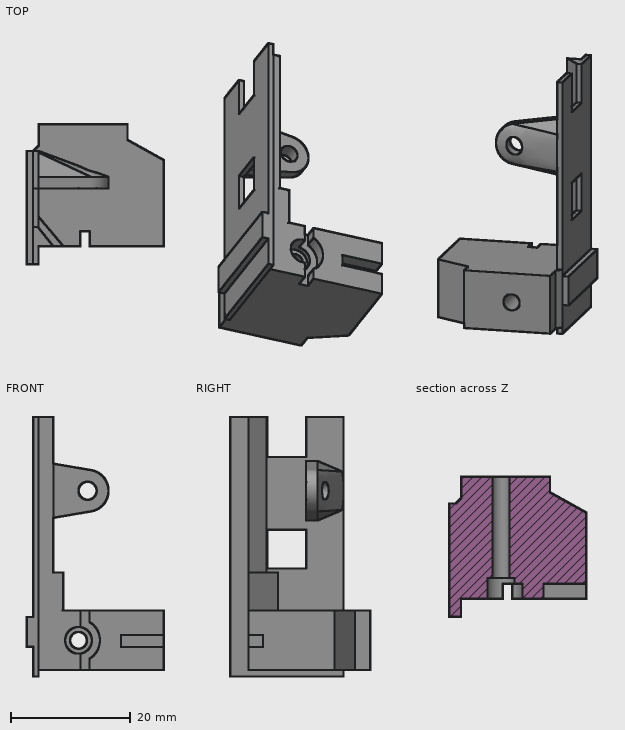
import cadquery as cq
import math

height = 43.5
bar_thickness = 1.1
bar_bottom = 5.0
bar_height = 5.0
plate_outer_x = bar_thickness
plate_thickness = 0.9
plate_inner_x = plate_outer_x + plate_thickness
plate_width = 19.0

opening_width = 6.45
notch_depth = 6.7
window_bottom = 18.15
window_height = 6.45

block_front_y = 3.05
block_back_y = 23.5
block_end_x = 23.0
block_bottom = 1.1
block_height = 10.0
block_top = block_bottom + block_height
rear_step_x = 16.9
rear_step_y = 20.9
slope_end_y = 17.5

tall_gusset = (2.5, 3.1, height)
short_gusset = (4.18, 4.95, 17.5)

screw_x = 8.7
screw_z = block_bottom + block_height / 2
screw_diameter = 2.8
counterbore_diameter = 4.5
counterbore_depth = 3.5
clearance_diameter = 7.18
slot_start_x = 9.0
slot_width = 1.55
slot_depth = 2.5
side_slot_start_x = 15.85
side_slot_bottom = bar_bottom
side_slot_height = 2.0

ear_x = 10.22
ear_z = 31.15
ear_radius = 3.52
ear_hole_diameter = 3.0
ear_flank_angle = 9.7
ear_front_y = 12.75
ear_back_y = 14.65
web_root_half_height = 3.25
web_root_flank_x = 1.5
web_root_tip_x = plate_inner_x


def box(x, y, z, length, width, tall):
    """Box given by its lowest corner and its sizes along X, Y and Z."""
    return cq.Workplane("XY").box(length, width, tall, centered=False).translate((x, y, z))


def cylinder_y(x, z, diameter, start_y, end_y):
    """Cylinder along Y between two Y positions."""
    plane = cq.Workplane("XZ", origin=(x, start_y, z))
    return plane.circle(diameter / 2).extrude(start_y - end_y)


def make_plate():
    plate = box(plate_outer_x, 0, 0, plate_thickness, plate_width, height)
    bar = box(0, 0, bar_bottom, bar_thickness, plate_width, bar_height)
    opening_y = (plate_width - opening_width) / 2
    openings = ((height - notch_depth, notch_depth), (window_bottom, window_height))
    for bottom, tall in openings:
        plate = plate.cut(box(plate_outer_x, opening_y, bottom, plate_thickness, opening_width, tall))
    return plate.union(bar)


def make_block():
    outline = [
        (plate_inner_x, block_front_y),
        (block_end_x, block_front_y),
        (block_end_x, slope_end_y),
        (rear_step_x, rear_step_y),
        (rear_step_x, block_back_y),
        (plate_inner_x, block_back_y),
        (plate_inner_x, plate_width + plate_thickness),
        (plate_outer_x, plate_width),
        (plate_inner_x, plate_width),
    ]
    plane = cq.Workplane("XY").workplane(offset=block_bottom)
    return plane.polyline(outline).close().extrude(block_height)


def make_gusset(reach_x, reach_y, top):
    corners = [
        (plate_inner_x, block_front_y),
        (plate_inner_x + reach_x, block_front_y),
        (plate_inner_x, block_front_y + reach_y),
    ]
    plane = cq.Workplane("XY").workplane(offset=block_bottom)
    return plane.polyline(corners).close().extrude(top - block_bottom)


def ear_profile(y, root_half_height, flank_x, flank_half_height, tip_x):
    """Ear outline at a given Y: flat root, two flanks and a rounded tip."""
    return (
        cq.Workplane("XZ", origin=(0, y, ear_z))
        .moveTo(plate_outer_x, -root_half_height)
        .lineTo(flank_x, -flank_half_height)
        .threePointArc((tip_x, 0), (flank_x, flank_half_height))
        .lineTo(plate_outer_x, root_half_height)
        .close()
    )


def make_ear():
    angle = math.radians(ear_flank_angle)
    flank_x = ear_x + ear_radius * math.sin(angle)
    flank_half_height = ear_radius * math.cos(angle)
    root_half_height = flank_half_height + (flank_x - plate_outer_x) * math.tan(angle)
    ear_outline = (root_half_height, flank_x, flank_half_height, ear_x + ear_radius)

    web_flank_drop = (web_root_flank_x - plate_outer_x) * math.tan(angle)
    web_outline = (
        web_root_half_height,
        web_root_flank_x,
        web_root_half_height - web_flank_drop,
        web_root_tip_x,
    )

    ear = ear_profile(ear_front_y, *ear_outline).extrude(ear_front_y - ear_back_y)
    web_start = ear_profile(ear_back_y, *ear_outline).wires().val()
    web_end = ear_profile(plate_width, *web_outline).wires().val()
    web = cq.Workplane(cq.Solid.makeLoft([web_start, web_end], True))
    hole = cylinder_y(ear_x, ear_z, ear_hole_diameter, ear_front_y, plate_width)
    return ear.union(web).cut(hole)


def cut_block_openings(body):
    slot_floor_y = block_front_y + slot_depth
    slot = box(slot_start_x, block_front_y, block_bottom, slot_width, slot_depth, block_height)

    clearance = cylinder_y(screw_x, screw_z, clearance_diameter, block_front_y, slot_floor_y)
    far_side = box(
        slot_start_x, block_front_y, block_bottom, clearance_diameter, slot_depth, block_height
    )
    clearance = clearance.intersect(far_side)

    counterbore_end_y = block_front_y + counterbore_depth
    counterbore = cylinder_y(screw_x, screw_z, counterbore_diameter, block_front_y, counterbore_end_y)
    screw_hole = cylinder_y(screw_x, screw_z, screw_diameter, block_front_y, block_back_y)
    side_slot = box(
        side_slot_start_x,
        block_front_y,
        side_slot_bottom,
        block_end_x - side_slot_start_x,
        slot_depth,
        side_slot_height,
    )
    for opening in (slot, clearance, counterbore, screw_hole, side_slot):
        body = body.cut(opening)
    return body


body = make_plate().union(make_block())
for gusset in (tall_gusset, short_gusset):
    body = body.union(make_gusset(*gusset))
body = body.union(make_ear())
result = cut_block_openings(body)